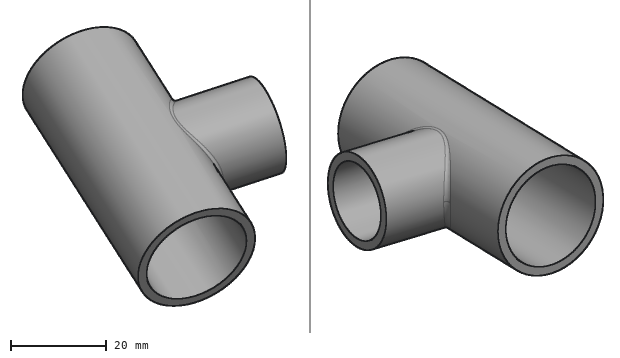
import cadquery as cq

run_length = 58.0
run_diameter = 26.9
run_bore = 22.9
branch_diameter = 21.3
branch_bore = branch_diameter - (run_diameter - run_bore)
branch_reach = run_length / 2
junction_radius = 1.0


def run_cylinder(diameter):
    """Cylinder along X, centred on the origin, as long as the run."""
    return cq.Workplane("YZ").circle(diameter / 2).extrude(run_length / 2, both=True)


def branch_cylinder(diameter):
    """Cylinder along +Y from the run axis to the branch end."""
    return cq.Workplane("XZ").circle(diameter / 2).extrude(-branch_reach)


junction_box = cq.selectors.BoxSelector(
    (-branch_diameter, 0, -run_diameter),
    (branch_diameter, run_diameter / 2 + junction_radius, run_diameter),
    boundingbox=True,
)
body = run_cylinder(run_diameter).union(branch_cylinder(branch_diameter))
body = body.edges(junction_box).fillet(junction_radius)

result = body.cut(run_cylinder(run_bore)).cut(branch_cylinder(branch_bore))